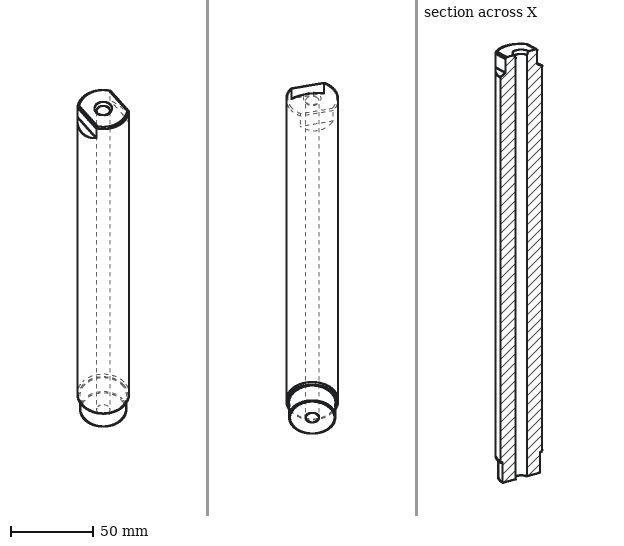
import cadquery as cq
import math

length = 280.0
shaft_diameter = 31.5
shaft_radius = shaft_diameter / 2

spigot_diameter = 28.3
spigot_length = 13.5
spigot_chamfer = 0.5
shoulder_chamfer_height = 1.5
shoulder_chamfer_width = 0.8

across_flats = 24.0
flat_length = 10.0
runout_angle = 30.0
top_chamfer = 0.98

hole_diameter = 8.0
hole_mouth_diameter = 10.5
countersink_depth = 2.2


def make_shaft():
    spigot = cq.Workplane("XY").circle(spigot_diameter / 2).extrude(spigot_length)
    spigot = spigot.faces("<Z").chamfer(spigot_chamfer)
    body = (
        cq.Workplane("XY")
        .workplane(offset=spigot_length)
        .circle(shaft_radius)
        .extrude(length - spigot_length)
        .faces("<Z")
        .edges()
        .chamfer(shoulder_chamfer_height, shoulder_chamfer_width)
    )
    return spigot.union(body)


def make_flat_cutter():
    """Material beside the -Y flat, with the sloped runout below it."""
    flat_y = -across_flats / 2
    outer_y = -shaft_diameter
    flat_bottom = length - flat_length
    runout_drop = (flat_y - outer_y) * math.tan(math.radians(runout_angle))
    profile = [
        (flat_y, length),
        (flat_y, flat_bottom),
        (outer_y, flat_bottom - runout_drop),
        (outer_y, length),
    ]
    return cq.Workplane("YZ").polyline(profile).close().extrude(shaft_radius, both=True)


def make_hole_cutter():
    """Through hole with a steep conical countersink at the upper mouth."""
    hole_radius = hole_diameter / 2
    mouth_radius = hole_mouth_diameter / 2
    profile = [
        (0, 0),
        (hole_radius, 0),
        (hole_radius, length - countersink_depth),
        (mouth_radius, length),
        (0, length),
    ]
    return cq.Workplane("XZ").polyline(profile).close().revolve(360, (0, 0), (0, 1))


flat_cutter = make_flat_cutter()
result = make_shaft().cut(flat_cutter).cut(flat_cutter.mirror("XZ"))
result = result.faces(">Z").chamfer(top_chamfer)
result = result.cut(make_hole_cutter())